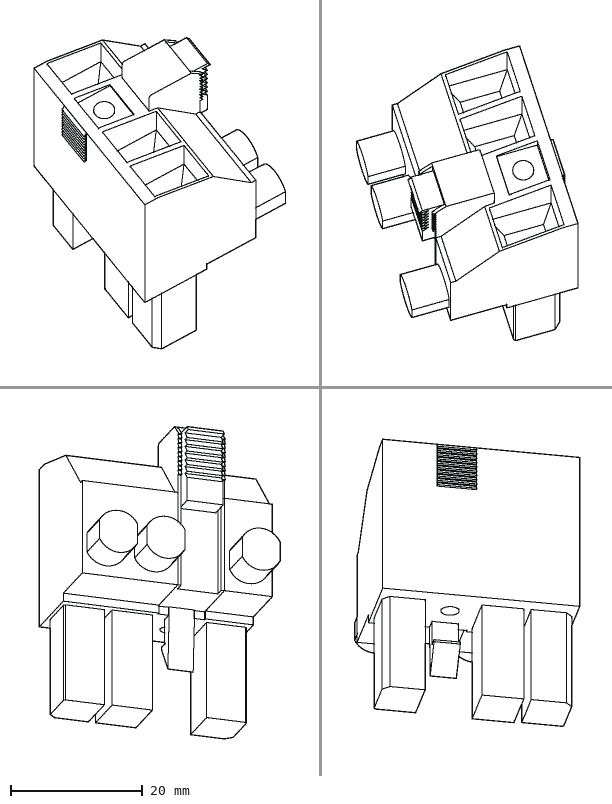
import cadquery as cq


WIDTH = 30.45
POLE_COUNT = 4
POLE_PITCH = WIDTH / POLE_COUNT
POLE_X = [(i + 0.5) * POLE_PITCH for i in range(POLE_COUNT)]
LATCH_X = POLE_X[1]
CONTACT_X = [POLE_X[0], POLE_X[2], POLE_X[3]]

DEPTH = 20.2
FLOOR_Z = 15.5
REAR_FLOOR_Z = 16.8
FLOOR_STEP_Y = 11.3
TOP_Z = 41.12
TOP_FLAT_Y = 2.4
RIDGE_Y = 12.45
RIDGE_Z = 38.85
SHOULDER_Y = 19.37
SHOULDER_Z = 31.85

TOWER_WIDTH = 6.47
TOWER_FRONT_Y = 2.4
TOWER_REAR_Y = 10.23
OUTER_TOWER_REAR_Y = 9.95
TOWER_FRONT_CHAMFER = 1.05
TOWER_REAR_CHAMFER = 0.25

FUNNEL_WIDTH = 6.77
FUNNEL_LENGTH = 9.8
FUNNEL_Y = 7.0
FUNNEL_SIDE_INSET = 1.85
FUNNEL_END_INSET = 1.75
FUNNEL_TAPER_Z = 34.1
FUNNEL_FLOOR_Z = 31.05

RECESS_WIDTH = 6.65
RECESS_LENGTH = 6.47
RECESS_Y = 5.2
RECESS_FLOOR_Z = 39.5
SCREW_HOLE_TOP_DIAMETER = 3.2
SCREW_HOLE_BOTTOM_DIAMETER = 2.75

FINE_PITCH = 0.75
FINE_COUNT = 10
COARSE_PITCH = 1.5 * FINE_PITCH
COARSE_COUNT = 6

GRIP_WIDTH = 6.1
GRIP_TOOTH_DEPTH = 0.47
GRIP_TOOTH_RISE = 0.55
GRIP_FIRST_TIP_Z = 40.5

STUD_DIAMETER = 6.8
STUD_FLAT_WIDTH = 6.1
STUD_Z = 21.85
STUD_END_Y = 26.1

LATCH_WIDTH = 7.45
LATCH_TOP_Z = 43.15
LATCH_FRONT_Y = 10.9
LATCH_WEB_REAR_Y = 18.6
LATCH_EDGE_RADIUS = 0.5
FLANGE_THICKNESS = 0.5
FLANGE_TOOTH_Y = 20.65
FIRST_TIP_Z = 41.3

THUMB_WIDTH = 5.8
THUMB_TOP_Z = 42.0
THUMB_BOTTOM_Z = 29.95
THUMB_ROOT_Y = 21.15
THUMB_TIP_Y = 22.1
THUMB_LIP_Y = 22.6
THUMB_SLOPE_END_Z = 33.7

HOOK_WIDTH = 4.05
HOOK_TOP_Z = 19.4
HOOK_REAR_Y = 11.15
HOOK_SHANK_Y = 9.05
HOOK_BARB_Y = 7.45
HOOK_BARB_TOP_Z = 11.5
HOOK_BARB_EDGE_Z = 11.18
HOOK_END_Y = 10.55
HOOK_END_Z = 6.85


def extrude_profile(points, center_x, width):
    """Extrude a closed (Y, Z) outline by `width`, centred on `center_x`."""
    start = cq.Workplane("YZ", origin=(center_x - width / 2, 0, 0))
    return start.polyline(points).close().extrude(width)


def box_between(center_x, width, y_range, z_range):
    """A box centred on `center_x` that spans the given Y and Z ranges."""
    y0, y1 = y_range
    z0, z1 = z_range
    middle = (center_x, (y0 + y1) / 2, (z0 + z1) / 2)
    return cq.Workplane("XY").box(width, y1 - y0, z1 - z0).translate(middle)


def saw_outline(root_y, tip_y, first_tip_z, pitch, count):
    """Teeth listed downward: each slopes from root to tip and returns flat to the root."""
    points = []
    for i in range(count):
        tip_z = first_tip_z - i * pitch
        points += [(tip_y, tip_z), (root_y, tip_z)]
    return points


def housing_shell():
    outline = [
        (0, FLOOR_Z),
        (FLOOR_STEP_Y, FLOOR_Z),
        (FLOOR_STEP_Y, REAR_FLOOR_Z),
        (DEPTH, REAR_FLOOR_Z),
        (DEPTH, SHOULDER_Z),
        (SHOULDER_Y, SHOULDER_Z),
        (RIDGE_Y, RIDGE_Z),
        (TOP_FLAT_Y, TOP_Z),
        (0, TOP_Z),
    ]
    return extrude_profile(outline, WIDTH / 2, WIDTH)


def tower(center_x, rear_y, chamfered_side=""):
    """A contact tower; `chamfered_side` is "<X" or ">X" for an outer tower."""
    body = box_between(center_x, TOWER_WIDTH, (TOWER_FRONT_Y, rear_y), (0, FLOOR_Z))
    if chamfered_side:
        body = body.faces(chamfered_side).edges("|Z and <Y").chamfer(TOWER_FRONT_CHAMFER)
        body = body.faces(chamfered_side).edges("|Z and >Y").chamfer(TOWER_REAR_CHAMFER)
    return body


def funnel(center_x):
    """A wire entry: straight walls above, tapering to a smaller flat floor."""
    mouth = box_between(
        center_x,
        FUNNEL_WIDTH,
        (FUNNEL_Y - FUNNEL_LENGTH / 2, FUNNEL_Y + FUNNEL_LENGTH / 2),
        (FUNNEL_TAPER_Z, TOP_Z),
    )
    taper = (
        cq.Workplane("XY", origin=(center_x, FUNNEL_Y, FUNNEL_FLOOR_Z))
        .rect(FUNNEL_WIDTH - 2 * FUNNEL_SIDE_INSET, FUNNEL_LENGTH - 2 * FUNNEL_END_INSET)
        .workplane(offset=FUNNEL_TAPER_Z - FUNNEL_FLOOR_Z)
        .rect(FUNNEL_WIDTH, FUNNEL_LENGTH)
        .loft()
    )
    return mouth.union(taper)


def screw_recess():
    """A square recess with a slightly tapered screw hole through the floor."""
    recess = box_between(
        LATCH_X,
        RECESS_WIDTH,
        (RECESS_Y - RECESS_LENGTH / 2, RECESS_Y + RECESS_LENGTH / 2),
        (RECESS_FLOOR_Z, TOP_Z),
    )
    hole = (
        cq.Workplane("XY", origin=(LATCH_X, RECESS_Y, FLOOR_Z))
        .circle(SCREW_HOLE_BOTTOM_DIAMETER / 2)
        .workplane(offset=RECESS_FLOOR_Z - FLOOR_Z)
        .circle(SCREW_HOLE_TOP_DIAMETER / 2)
        .loft()
    )
    return recess.union(hole)


def latch_channel():
    """The full-height channel for the latch, with a slot for its hook shank."""
    channel = box_between(LATCH_X, LATCH_WIDTH, (LATCH_FRONT_Y, DEPTH), (FLOOR_Z, LATCH_TOP_Z))
    slot = box_between(LATCH_X, HOOK_WIDTH, (HOOK_SHANK_Y, LATCH_FRONT_Y), (FLOOR_Z, HOOK_TOP_Z))
    return channel.union(slot)


def grip_tooth(tip_z):
    outline = [(0, tip_z), (-GRIP_TOOTH_DEPTH, tip_z), (0, tip_z + GRIP_TOOTH_RISE)]
    return extrude_profile(outline, LATCH_X, GRIP_WIDTH)


def make_housing():
    body = housing_shell()
    body = body.union(tower(CONTACT_X[0], OUTER_TOWER_REAR_Y, "<X"))
    body = body.union(tower(CONTACT_X[1], TOWER_REAR_Y))
    body = body.union(tower(CONTACT_X[2], OUTER_TOWER_REAR_Y, ">X"))
    for x in CONTACT_X:
        body = body.cut(funnel(x))
    body = body.cut(screw_recess()).cut(latch_channel())
    for i in range(FINE_COUNT):
        body = body.union(grip_tooth(GRIP_FIRST_TIP_Z - i * FINE_PITCH))
    return body


def make_stud(center_x):
    """A round stud with a flat on each side, standing on the rear wall."""
    length = STUD_END_Y - DEPTH
    rod = (
        cq.Workplane("XZ", origin=(center_x, STUD_END_Y, STUD_Z))
        .circle(STUD_DIAMETER / 2)
        .extrude(length)
    )
    half_height = STUD_DIAMETER / 2
    flats = box_between(
        center_x, STUD_FLAT_WIDTH, (DEPTH, STUD_END_Y), (STUD_Z - half_height, STUD_Z + half_height)
    )
    return rod.intersect(flats)


def latch_web():
    web = box_between(LATCH_X, LATCH_WIDTH, (LATCH_FRONT_Y, LATCH_WEB_REAR_Y), (REAR_FLOOR_Z, LATCH_TOP_Z))
    return web.faces(">Z").edges("<Y").fillet(LATCH_EDGE_RADIUS)


def latch_flange(side):
    """A toothed side flange behind the web; `side` is -1 for left and 1 for right."""
    outline = [
        (LATCH_WEB_REAR_Y, REAR_FLOOR_Z),
        (LATCH_WEB_REAR_Y, LATCH_TOP_Z),
        *saw_outline(DEPTH, FLANGE_TOOTH_Y, FIRST_TIP_Z, FINE_PITCH, FINE_COUNT),
        (DEPTH, REAR_FLOOR_Z),
    ]
    center_x = LATCH_X + side * (LATCH_WIDTH - FLANGE_THICKNESS) / 2
    return extrude_profile(outline, center_x, FLANGE_THICKNESS)


def thumb_block():
    outline = [
        (LATCH_WEB_REAR_Y, THUMB_BOTTOM_Z),
        (LATCH_WEB_REAR_Y, THUMB_TOP_Z),
        (THUMB_TIP_Y, THUMB_TOP_Z),
        (THUMB_LIP_Y, FIRST_TIP_Z),
        (THUMB_ROOT_Y, FIRST_TIP_Z),
        *saw_outline(THUMB_ROOT_Y, THUMB_TIP_Y, FIRST_TIP_Z - COARSE_PITCH, COARSE_PITCH, COARSE_COUNT),
        (THUMB_TIP_Y, THUMB_SLOPE_END_Z),
        (THUMB_TIP_Y, THUMB_BOTTOM_Z),
    ]
    return extrude_profile(outline, LATCH_X, THUMB_WIDTH)


def latch_hook():
    """A shank on the front of the web, ending below the housing in a forward barb."""
    outline = [
        (HOOK_REAR_Y, HOOK_TOP_Z),
        (HOOK_SHANK_Y, HOOK_TOP_Z),
        (HOOK_SHANK_Y, HOOK_BARB_TOP_Z),
        (HOOK_BARB_Y, HOOK_BARB_TOP_Z),
        (HOOK_BARB_Y, HOOK_BARB_EDGE_Z),
        (HOOK_END_Y, HOOK_END_Z),
        (HOOK_REAR_Y, FLOOR_Z),
    ]
    return extrude_profile(outline, LATCH_X, HOOK_WIDTH)


def make_latch():
    body = latch_web()
    for side in (-1, 1):
        body = body.union(latch_flange(side))
    return body.union(thumb_block()).union(latch_hook())


housing = make_housing()
studs = [make_stud(x) for x in CONTACT_X]
latch = make_latch()

result = cq.Compound.makeCompound([housing.val(), latch.val(), *[stud.val() for stud in studs]])